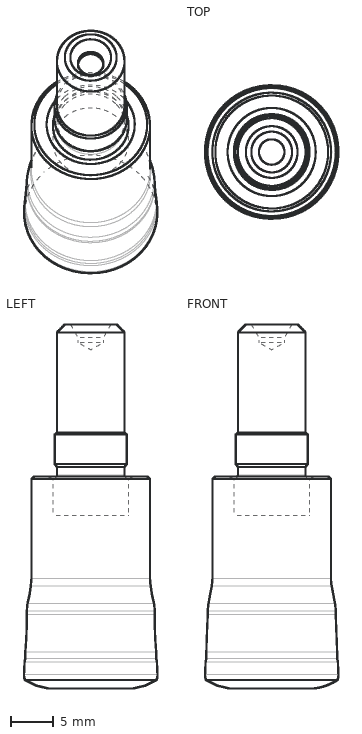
import cadquery as cq
import math

height = 43
shank_radius = 8.0 / 2
tip_chamfer = 0.95
collar_radius = 8.5 / 2
collar_edge = collar_radius - shank_radius
collar_lower_edge = 0.4
collar_top = 30.25
collar_bottom = 26.15
foot_radius = 4.47
foot_flare = foot_radius - shank_radius

centre_radius = 3 / 2
centre_mouth_radius = 2.4
centre_cone_half_angle = 30
centre_depth = 2.15
drill_half_angle = 60

barrel_radius = 14.0 / 2
barrel_top = 25.05
barrel_chamfer = 0.35
countersink_radius = 5.2
countersink_depth = 0.35
seat_height = barrel_top - countersink_depth
stud_pocket_depth = 4.3

barrel_end = 13.05
flare_start = 12.13
flare_start_radius = 7.1
flare_end = 10.05
flare_end_radius = 7.5
skirt_top = 9.15
skirt_top_radius = 15.15 / 2
skirt_wall_top = 8.77
band_top = 4.35
band_top_radius = 7.75
band_middle = 3.55
band_middle_radius = band_top_radius
band_bottom = 3.2
band_bottom_radius = 7.83
skirt_bottom = 1.68
skirt_bottom_radius = 15.8 / 2

rim_height = 1.05
rim_radius = 7.8
base_arc_radius = 6.55
base_arc_height = 0.4
base_flat_radius = 4.95

stud_bottom = seat_height - stud_pocket_depth


def make_stud():
    profile = (
        cq.Workplane("XZ")
        .moveTo(0, stud_bottom)
        .lineTo(foot_radius, stud_bottom)
        .lineTo(foot_radius, seat_height)
        .radiusArc((shank_radius, seat_height + foot_flare), foot_flare)
        .lineTo(shank_radius, collar_bottom)
        .lineTo(collar_radius, collar_bottom + collar_lower_edge)
        .lineTo(collar_radius, collar_top - collar_edge)
        .lineTo(shank_radius, collar_top)
        .lineTo(shank_radius, height - tip_chamfer)
        .lineTo(shank_radius - tip_chamfer, height)
        .lineTo(0, height)
        .close()
    )
    return profile.revolve(360, (0, 0), (0, 1)).cut(make_centre_hole())


def make_centre_hole():
    """Countersunk blind hole with a conical drill point."""
    floor = height - centre_depth
    mouth_depth = (centre_mouth_radius - centre_radius) / math.tan(math.radians(centre_cone_half_angle))
    drill_point = centre_radius / math.tan(math.radians(drill_half_angle))
    return (
        cq.Workplane("XZ")
        .moveTo(0, height)
        .lineTo(centre_mouth_radius, height)
        .lineTo(centre_radius, height - mouth_depth)
        .lineTo(centre_radius, floor)
        .lineTo(0, floor - drill_point)
        .close()
        .revolve(360, (0, 0), (0, 1))
    )


def make_housing():
    """Turned housing with a blind pocket that holds the foot of the stud."""
    flare_slope = (flare_end_radius - flare_start_radius, flare_end - flare_start)
    profile = (
        cq.Workplane("XZ")
        .moveTo(0, 0)
        .lineTo(0, stud_bottom)
        .lineTo(foot_radius, stud_bottom)
        .lineTo(foot_radius, seat_height)
        .lineTo(countersink_radius, barrel_top)
        .lineTo(barrel_radius - barrel_chamfer, barrel_top)
        .lineTo(barrel_radius, barrel_top - barrel_chamfer)
        .lineTo(barrel_radius, barrel_end)
        .spline([(flare_start_radius, flare_start)], tangents=[(0, -1), flare_slope], includeCurrent=True)
        .lineTo(flare_end_radius, flare_end)
        .spline([(skirt_top_radius, skirt_top)], tangents=[flare_slope, (0, -1)], includeCurrent=True)
        .lineTo(skirt_top_radius, skirt_wall_top)
        .lineTo(band_top_radius, band_top)
        .lineTo(band_middle_radius, band_middle)
        .lineTo(band_bottom_radius, band_bottom)
        .lineTo(skirt_bottom_radius, skirt_bottom)
        .tangentArcPoint((rim_radius, rim_height), relative=False)
        .threePointArc((base_arc_radius, base_arc_height), (base_flat_radius, 0))
        .close()
    )
    return profile.revolve(360, (0, 0), (0, 1))


stud = make_stud()
housing = make_housing()
result = cq.Compound.makeCompound([stud.val(), housing.val()])